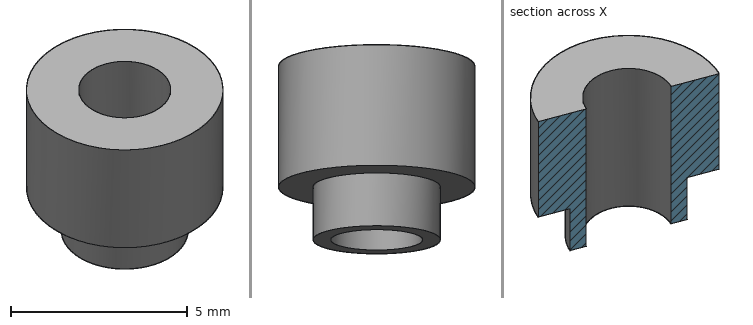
import cadquery as cq

total_height = 5.03
shank_height = 1.53
body_height = total_height - shank_height

body_diameter = 5.56
shank_diameter = 3.6
bore_diameter = 2.6


def make_body():
    """Large cylinder standing on the shoulder plane at Z = 0."""
    return cq.Workplane("XY").circle(body_diameter / 2).extrude(body_height)


def make_shank():
    """Smaller cylinder hanging below the shoulder plane."""
    return cq.Workplane("XY").circle(shank_diameter / 2).extrude(-shank_height)


def make_bore():
    """Through bore along the common axis, over the full height."""
    return (
        cq.Workplane("XY")
        .workplane(offset=-shank_height)
        .circle(bore_diameter / 2)
        .extrude(total_height)
    )


result = make_body().union(make_shank()).cut(make_bore())